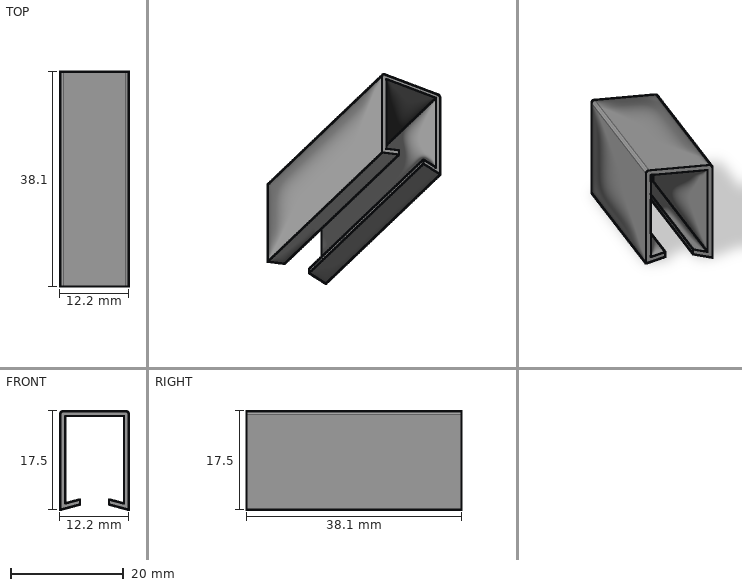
import cadquery as cq
import math

width = 12.2
length = 38.1
height = 17.53

wall = 0.9
corner_radius = 0.57
lip_reach = 3.55
lip_angle = math.radians(15)

half_width = width / 2
inner_half = half_width - wall
tip_x = half_width - lip_reach
top_z = height / 2
bottom_z = -top_z
lip_slope = math.tan(lip_angle)
lip_thickness_z = wall / math.cos(lip_angle)


def lip_underside(x):
    """Height of the lip's lower face at distance x from the middle plane."""
    return bottom_z + (half_width - x) * lip_slope


right_half = [
    (half_width, top_z),
    (half_width, bottom_z),
    (tip_x, lip_underside(tip_x)),
    (tip_x, lip_underside(tip_x) + lip_thickness_z),
    (inner_half, lip_underside(inner_half) + lip_thickness_z),
    (inner_half, top_z - wall),
]
left_half = [(-x, z) for x, z in reversed(right_half)]

channel = (
    cq.Workplane("XZ")
    .polyline(right_half + left_half)
    .close()
    .extrude(length / 2, both=True)
)

result = channel.faces(">Z").edges("|Y").fillet(corner_radius)